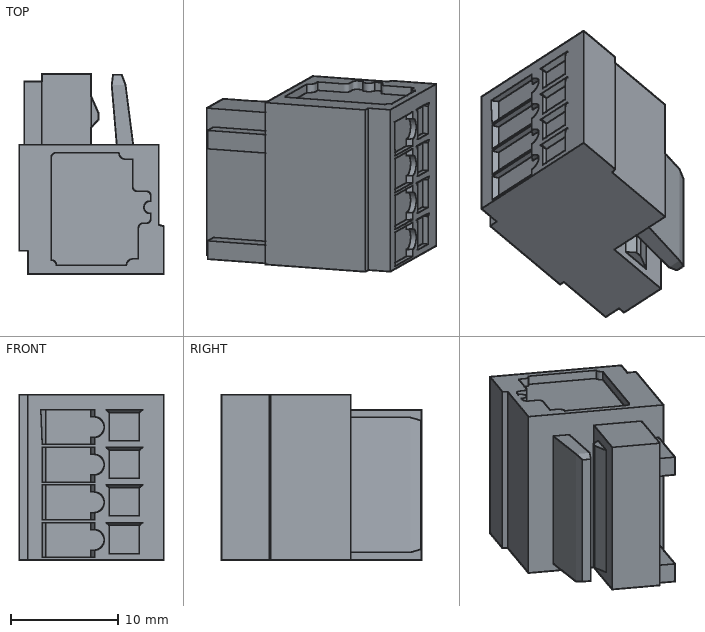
import cadquery as cq
import math


pole_count = 4
pole_pitch = 3.5
poles_height = pole_count * pole_pitch
end_wall = 1.4

housing_width = 13.5
housing_depth = 12.05
housing_height = poles_height + end_wall
left_step_width = 0.83
left_step_y = 2.17
right_step_width = 0.48
right_step_y = 4.46
right_step_rise = 0.13

total_depth = 18.65
plug_left = 2.12
plug_right = 6.72
rib_left = 0.47
rib_end = 17.95
rib_height = pole_pitch / 2
rib_poles = (0, 3)

bump_start = 13.64
bump_peak_start = 14.39
bump_peak_end = 14.96
bump_end = 16.56
bump_reach = 0.7
bump_margin = 1.0

latch_root_left = 9.09
latch_root_right = 10.64
latch_neck_left = 8.62
latch_neck_right = 9.93
latch_neck_y = 17.6
latch_tip_left = 8.75
latch_tip_right = 9.57
latch_tip_y = 18.58
latch_margin = 0.72
latch_tip_margin = 1.0

recess_depth = 0.55
lever_left = 2.16
lever_floor_left = 2.47
lever_floor_right = 6.7
lever_right = 7.05
lever_bottom = 0.27
lever_height = pole_pitch - lever_bottom
end_lever_lean = 0.13
thumb_radius = 0.96
thumb_center_x = 6.97
thumb_center_z = lever_bottom + lever_height / 2

wire_left = 8.41
wire_right = 11.2
wire_bottom = 0.61
wire_top = 3.23
lead_in_top = pole_pitch
lead_in_flare = 0.3

label_depth = 0.8
label_left = 2.98
label_right = 10.58
label_lower_right = 11.12
label_bay_right = 12.28
label_front = 0.81
label_back = 11.3
label_corner = 0.5
label_back_notch_x = 9.3
label_back_notch = 0.6
label_front_notch_x = 10.0
label_front_notch = 0.6
bay_center_y = 6.22
bay_half_length = 1.49
bay_corner = 0.44
bay_notch_radius = 0.65
bay_notch_half = 0.57

DIAGONAL = math.sqrt(0.5)


def box(x0, x1, y0, y1, z0, z1):
    """Box given by its lower and upper limits along each axis."""
    return cq.Workplane("XY").box(x1 - x0, y1 - y0, z1 - z0, centered=False).translate((x0, y0, z0))


def make_housing():
    shoulder_x = housing_width - right_step_width
    outline = [
        (left_step_width, 0),
        (housing_width, 0),
        (housing_width, right_step_y),
        (shoulder_x, right_step_y + right_step_rise),
        (shoulder_x, housing_depth),
        (0, housing_depth),
        (0, left_step_y),
        (left_step_width, left_step_y),
    ]
    return cq.Workplane("XY").polyline(outline).close().extrude(housing_height)


def make_plug():
    plug = box(plug_left, plug_right, housing_depth, total_depth, 0, poles_height)
    for pole in rib_poles:
        base = pole * pole_pitch
        plug = plug.union(box(rib_left, plug_left, housing_depth, rib_end, base, base + rib_height))
    return plug


def make_bump():
    outline = [
        (plug_right, bump_start),
        (plug_right + bump_reach, bump_peak_start),
        (plug_right + bump_reach, bump_peak_end),
        (plug_right, bump_end),
    ]
    bump = cq.Workplane("XY").workplane(offset=bump_margin).polyline(outline).close()
    return bump.extrude(poles_height - 2 * bump_margin)


def make_latch():
    """Leaning arm whose tip tapers in both width and height."""
    outline = [
        (latch_root_left, housing_depth),
        (latch_root_right, housing_depth),
        (latch_neck_right, latch_neck_y),
        (latch_tip_right, latch_tip_y),
        (latch_tip_left, latch_tip_y),
        (latch_neck_left, latch_neck_y),
    ]
    side = [
        (housing_depth, latch_margin),
        (latch_neck_y, latch_margin),
        (latch_tip_y, latch_tip_margin),
        (latch_tip_y, poles_height - latch_tip_margin),
        (latch_neck_y, poles_height - latch_margin),
        (housing_depth, poles_height - latch_margin),
    ]
    arm = cq.Workplane("XY").polyline(outline).close().extrude(poles_height)
    return arm.intersect(cq.Workplane("YZ").polyline(side).close().extrude(housing_width))


def make_lever_recess(base, lean):
    """Recess with sloped ends and a round thumb notch; lean widens the upper left corner."""
    bottom = base + lever_bottom
    top = bottom + lever_height
    mouth = [(lever_left, bottom), (lever_right, bottom), (lever_right, top), (lever_left - lean, top)]
    floor = [
        (lever_floor_left, bottom),
        (lever_floor_right, bottom),
        (lever_floor_right, top),
        (lever_floor_left, top),
    ]
    wires = [
        cq.Wire.makePolygon([cq.Vector(x, y, z) for x, z in corners], close=True)
        for y, corners in ((0, mouth), (recess_depth, floor))
    ]
    recess = cq.Workplane(obj=cq.Solid.makeLoft(wires, True))
    center_z = base + thumb_center_z
    thumb = cq.Workplane("XZ").center(thumb_center_x, center_z).circle(thumb_radius).extrude(-recess_depth)
    slot_bottom = center_z - thumb_radius
    slot_top = center_z + thumb_radius
    slot = box(lever_floor_left, thumb_center_x, 0, recess_depth, slot_bottom, slot_top)
    return recess.union(thumb).union(slot)


def make_wire_entry(base):
    """Square entry with a sloped lead-in along its upper edge, flared at both corners."""
    entry = box(wire_left, wire_right, 0, recess_depth, base + wire_bottom, base + wire_top)
    flare = [
        (wire_left, base + wire_top),
        (wire_right, base + wire_top),
        (wire_right + lead_in_flare, base + lead_in_top),
        (wire_left - lead_in_flare, base + lead_in_top),
    ]
    slope = [(0, base + wire_top), (recess_depth, base + wire_top), (0, base + lead_in_top)]
    lead_in = cq.Workplane("XZ").polyline(flare).close().extrude(-recess_depth)
    wedge = cq.Workplane("YZ").polyline(slope).close().extrude(housing_width)
    return entry.union(lead_in.intersect(wedge))


def make_label_pocket():
    """Shallow pocket with a rounded bay on its right side and scooped corners."""
    bay_front = bay_center_y - bay_half_length
    bay_back = bay_center_y + bay_half_length
    front_notch_y = label_front + label_front_notch
    front_notch_end_x = label_front_notch_x + label_front_notch
    back_notch_end_x = label_back_notch_x + label_back_notch
    back_notch_y = label_back - label_back_notch
    rounding = label_corner * (1 - DIAGONAL)
    scoop = label_corner * DIAGONAL
    bay_rounding = bay_corner * (1 - DIAGONAL)
    back_scoop = label_back_notch * DIAGONAL
    front_scoop = label_front_notch * DIAGONAL
    outline = (
        cq.Workplane("XY")
        .workplane(offset=housing_height - label_depth)
        .moveTo(label_left + label_corner, label_front)
        .lineTo(label_front_notch_x, label_front)
        .threePointArc(
            (front_notch_end_x - front_scoop, label_front + front_scoop),
            (front_notch_end_x, front_notch_y),
        )
        .lineTo(label_lower_right, front_notch_y)
        .lineTo(label_lower_right, bay_front - bay_corner)
        .threePointArc(
            (label_lower_right + bay_rounding, bay_front - bay_rounding),
            (label_lower_right + bay_corner, bay_front),
        )
        .lineTo(label_bay_right - bay_corner, bay_front)
        .threePointArc(
            (label_bay_right - bay_rounding, bay_front + bay_rounding),
            (label_bay_right, bay_front + bay_corner),
        )
        .lineTo(label_bay_right, bay_center_y - bay_notch_half)
        .threePointArc(
            (label_bay_right - bay_notch_radius, bay_center_y),
            (label_bay_right, bay_center_y + bay_notch_half),
        )
        .lineTo(label_bay_right, bay_back - bay_corner)
        .threePointArc(
            (label_bay_right - bay_rounding, bay_back - bay_rounding),
            (label_bay_right - bay_corner, bay_back),
        )
        .lineTo(label_right + bay_corner, bay_back)
        .threePointArc(
            (label_right + bay_rounding, bay_back + bay_rounding),
            (label_right, bay_back + bay_corner),
        )
        .lineTo(label_right, back_notch_y)
        .lineTo(back_notch_end_x, back_notch_y)
        .threePointArc(
            (back_notch_end_x - back_scoop, label_back - back_scoop),
            (label_back_notch_x, label_back),
        )
        .lineTo(label_left + label_corner, label_back)
        .threePointArc((label_left + rounding, label_back - rounding), (label_left, label_back - label_corner))
        .lineTo(label_left, label_front + label_corner)
        .threePointArc((label_left + scoop, label_front + scoop), (label_left + label_corner, label_front))
        .close()
    )
    return outline.extrude(label_depth)


result = make_housing().union(make_plug()).union(make_bump()).union(make_latch())
for pole in range(pole_count):
    pole_base = pole * pole_pitch
    lean = end_lever_lean if pole == pole_count - 1 else 0
    result = result.cut(make_lever_recess(pole_base, lean))
    result = result.cut(make_wire_entry(pole_base))
result = result.cut(make_label_pocket())